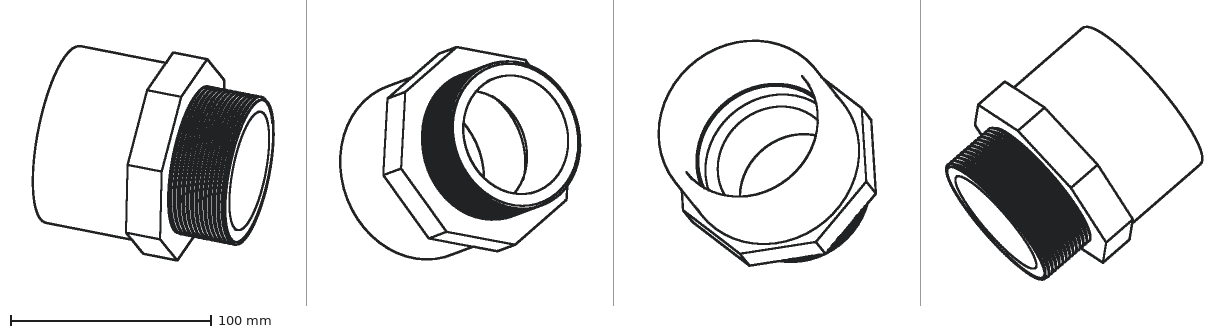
import cadquery as cq
import math

total_length = 99.0
collar_start = 50.9
collar_length = 18.0
collar_end = collar_start + collar_length
thread_length = total_length - collar_end

sleeve_diameter = 90.0
rim_fillet = 1.0
socket_diameter = 75.0
socket_depth = 44.4
inner_socket_diameter = 73.0
inner_socket_depth = 57.4
bore_diameter = 60.2

collar_sides = 8
collar_across_flats = 95.1
collar_twist = -3.5

thread_major_diameter = 75.0
thread_core_diameter = 72.2
thread_turns = 13
thread_pitch = thread_length / thread_turns
thread_crest_width = 0.4
thread_root_width = 0.3
thread_start_angle = 15.0
ridge_sink = 0.5
ridge_overrun_turns = 2


def rod(start, length, diameter):
    """Solid cylinder on the X axis."""
    return cq.Workplane("YZ", origin=(start, 0, 0)).circle(diameter / 2).extrude(length)


def octagonal_collar():
    """Eight-sided collar, turned slightly about the X axis."""
    across_corners = collar_across_flats / math.cos(math.pi / collar_sides)
    first_corner = 180 / collar_sides
    return (
        cq.Workplane("YZ", origin=(collar_start, 0, 0))
        .polygon(collar_sides, across_corners)
        .extrude(collar_length)
        .rotate((0, 0, 0), (1, 0, 0), first_corner + collar_twist)
    )


def stepped_bore():
    """Socket stepping down twice to the through bore."""
    socket = rod(0, socket_depth, socket_diameter)
    inner_socket = rod(0, inner_socket_depth, inner_socket_diameter)
    bore = rod(0, total_length, bore_diameter)
    return socket.union(inner_socket).union(bore)


def adapter_body():
    """Sleeve, collar and thread core in one piece, with both rims of the socket mouth rounded."""
    sleeve = rod(0, collar_start, sleeve_diameter)
    thread_core = rod(collar_end, thread_length, thread_core_diameter)
    adapter = sleeve.union(octagonal_collar()).union(thread_core).cut(stepped_bore())
    return adapter.faces("<X").edges().fillet(rim_fillet)


def thread_ridge():
    """Right-handed helical ridge, trimmed flush with the collar face, the core and the free end."""
    core_radius = thread_core_diameter / 2
    depth = (thread_major_diameter - thread_core_diameter) / 2
    half_crest = thread_crest_width / 2
    half_base = (thread_pitch - thread_root_width) / 2
    helix_length = (thread_turns + 2 * ridge_overrun_turns) * thread_pitch
    path = cq.Wire.makeHelix(thread_pitch, helix_length, core_radius)
    profile = (
        cq.Workplane("XZ")
        .polyline([
            (core_radius - ridge_sink, -half_base),
            (core_radius, -half_base),
            (core_radius + depth, -half_crest),
            (core_radius + depth, half_crest),
            (core_radius, half_base),
            (core_radius - ridge_sink, half_base),
        ])
        .close()
    )
    ridge = (
        profile.sweep(path, isFrenet=True)
        .rotate((0, 0, 0), (0, 1, 0), 90)
        .rotate((0, 0, 0), (1, 0, 0), thread_start_angle)
        .translate((collar_end - ridge_overrun_turns * thread_pitch, 0, 0))
    )
    core = rod(collar_end, thread_length, thread_core_diameter)
    envelope = rod(collar_end, thread_length, collar_across_flats).cut(core)
    return ridge.intersect(envelope)


body = adapter_body()
thread = thread_ridge()

result = cq.Compound.makeCompound([body.solids().val(), thread.solids().val()])